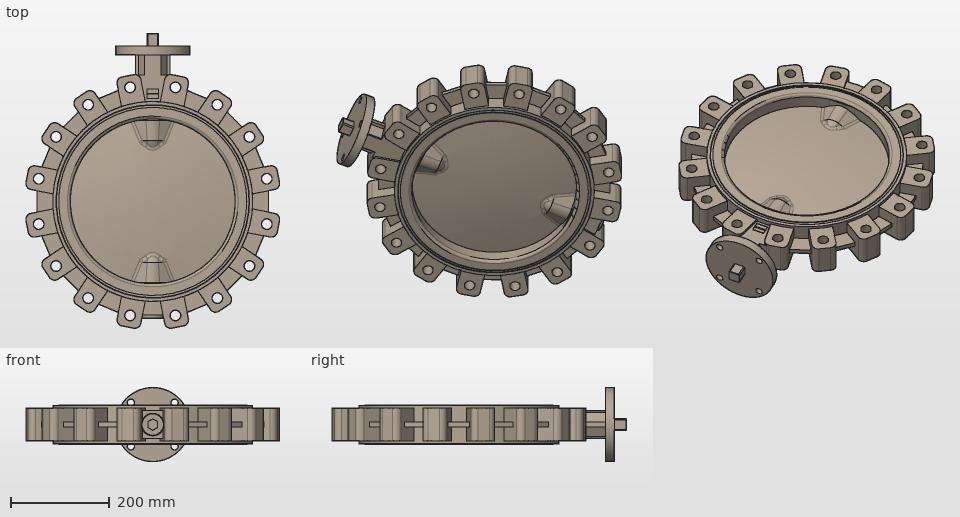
import cadquery as cq
import math


BODY_RADIUS = 202.0
BODY_WIDTH = 78.0
LINER_RADIUS = 190.0
LINER_WIDTH = 80.0
LINER_GROOVE_RADIUS = 194.5
LINER_GROOVE_DEPTH = 1.0
GROOVE_EDGE_CHAMFER = 0.9
BORE_RADIUS = 166.5
BORE_FILLET = 6.0
SHAFT_PAD_DISTANCE = 164.0
PAD_OVERLAP = 1.0

LUG_COUNT = 16
LUG_PITCH = 360.0 / LUG_COUNT
BOLT_CIRCLE_RADIUS = 235.0
BOLT_HOLE_DIAMETER = 21.0
LUG_TIP_DISTANCE = 259.0
LUG_ROOT_DISTANCE = 194.5
LUG_WIDTH = 49.0
LUG_HEIGHT = 66.0
LUG_CORNER_RADIUS = 12.5
WEB_APOTHEM = 234.0
WEB_THICKNESS = 10.0

DISC_CENTRE_HEIGHT = 21.5
DISC_EDGE_HEIGHT = 6.8
HUB_FLANK_ANGLE = 30.0
HUB_OUTER_DISTANCE = 172.0
HUB_OUTER_TOP = 26.7
HUB_OUTER_CROWN_HALF_WIDTH = 14.1
HUB_INNER_DISTANCE = 123.0
HUB_INNER_TOP = 23.8
HUB_INNER_CROWN_HALF_WIDTH = 11.6
HUB_NOSE_DISTANCE = 100.0
HUB_NOSE_TOP = 11.9
HUB_NOSE_CROWN_HALF_WIDTH = 6.5
HUB_FILLET = 12.0
HUB_ROOT_HEIGHT_LIMIT = 16.0

STEM_END = 339.0
STEM_SIZE = 24.0
STEM_EDGE_CHAMFER = 2.5
STEM_END_CHAMFER = 0.8
FLANGE_TOP = 314.5
FLANGE_THICKNESS = 18.5
FLANGE_DIAMETER = 150.0
FLANGE_BOLT_CIRCLE = 125.0
FLANGE_HOLE_DIAMETER = 14.0
FLANGE_HOLE_COUNT = 4
FLANGE_HOLE_START_ANGLE = 45.0
NECK_TOP_HALF_WIDTH = 16.5
NECK_SHOULDER_HALF_WIDTH = 28.5
NECK_WEB_HALF_WIDTH = 35.0
NECK_HALF_HEIGHT = 28.0
NECK_SHOULDER_HEIGHT = 24.0
FILLER_END = 256.0
PLATE_WIDTH = 24.0
PLATE_HEIGHT = 1.0
PLATE_SPANS = ((208.0, 217.0), (218.6, 227.0))

BOSS_WIDTH = 42.5
BOSS_HEIGHT = 56.0
BOSS_END = 230.0
PLUG_RADIUS = 22.7
PLUG_END = 236.5
PLUG_CHAMFER = 1.0
SOCKET_ACROSS_FLATS = 20.0
SOCKET_DEPTH = 10.0


def prism_along_y(profile, y_start, y_end):
    """Extrude a profile drawn in X and Z from y_start up to y_end."""
    return profile.extrude(y_start - y_end).translate((0, y_start, 0))


def make_body():
    half_body = BODY_WIDTH / 2
    half_liner = LINER_WIDTH / 2
    groove_floor = half_body - LINER_GROOVE_DEPTH
    half_ring = (
        cq.Workplane("XZ")
        .moveTo(BORE_RADIUS, 0)
        .lineTo(BORE_RADIUS, half_liner - BORE_FILLET)
        .radiusArc((BORE_RADIUS + BORE_FILLET, half_liner), BORE_FILLET)
        .lineTo(LINER_RADIUS, half_liner)
        .lineTo(LINER_RADIUS, groove_floor)
        .lineTo(LINER_GROOVE_RADIUS, groove_floor)
        .lineTo(LINER_GROOVE_RADIUS, half_body - GROOVE_EDGE_CHAMFER)
        .lineTo(LINER_GROOVE_RADIUS + GROOVE_EDGE_CHAMFER, half_body)
        .lineTo(BODY_RADIUS, half_body)
        .lineTo(BODY_RADIUS, 0)
        .close()
        .revolve(360, (0, 0, 0), (0, 1, 0))
    )
    return half_ring.union(half_ring.mirror("XY"))


def make_shaft_pads():
    """Flat pads on the bore wall where the shaft passes through."""
    pad_height = LINER_WIDTH - 2 * BORE_FILLET
    filled_bore = cq.Workplane("XY").circle(BORE_RADIUS + PAD_OVERLAP).extrude(pad_height / 2, both=True)
    between_pads = cq.Workplane("XY").box(2 * BODY_RADIUS, 2 * SHAFT_PAD_DISTANCE, LINER_WIDTH)
    return filled_bore.cut(between_pads)


def make_web():
    return (
        cq.Workplane("XY")
        .polygon(LUG_COUNT, 2 * WEB_APOTHEM, circumscribed=True)
        .circle(LUG_ROOT_DISTANCE)
        .extrude(WEB_THICKNESS / 2, both=True)
    )


def make_lug(angle):
    length = LUG_TIP_DISTANCE - LUG_ROOT_DISTANCE
    lug = (
        cq.Workplane("XY")
        .box(length, LUG_WIDTH, LUG_HEIGHT)
        .edges("|Z and >X")
        .fillet(LUG_CORNER_RADIUS)
        .translate((LUG_ROOT_DISTANCE + length / 2, 0, 0))
    )
    return lug.rotate((0, 0, 0), (0, 0, 1), angle)


def make_bolt_holes():
    return (
        cq.Workplane("XY")
        .polarArray(BOLT_CIRCLE_RADIUS, LUG_PITCH / 2, 360, LUG_COUNT)
        .circle(BOLT_HOLE_DIAMETER / 2)
        .extrude(LUG_HEIGHT, both=True)
    )


def hub_section(distance, top, crown_half_width):
    """Wire of a hub cross-section: a round crown running tangent into two sloping flanks."""
    flank = math.radians(HUB_FLANK_ANGLE)
    crown_radius = crown_half_width / math.sin(flank)
    crown_edge = top - crown_radius * (1 - math.cos(flank))
    foot_half_width = crown_half_width + crown_edge / math.tan(flank)
    return (
        cq.Workplane("XZ", origin=(0, distance, 0))
        .moveTo(-foot_half_width, 0)
        .lineTo(-crown_half_width, crown_edge)
        .threePointArc((0, top), (crown_half_width, crown_edge))
        .lineTo(foot_half_width, 0)
        .close()
        .val()
    )


def make_hub():
    """Hub half above the disc mid-plane on the +Y side."""
    outer = hub_section(HUB_OUTER_DISTANCE, HUB_OUTER_TOP, HUB_OUTER_CROWN_HALF_WIDTH)
    inner = hub_section(HUB_INNER_DISTANCE, HUB_INNER_TOP, HUB_INNER_CROWN_HALF_WIDTH)
    nose = hub_section(HUB_NOSE_DISTANCE, HUB_NOSE_TOP, HUB_NOSE_CROWN_HALF_WIDTH)
    barrel = cq.Workplane(cq.Solid.makeLoft([outer, inner], True))
    return barrel.union(cq.Workplane(cq.Solid.makeLoft([inner, nose], True)))


def hub_root_edges(half_disc):
    """The curved edges along which the hubs meet the domed disc."""
    bounds = cq.selectors.BoxSelector(
        (-HUB_OUTER_DISTANCE, -HUB_OUTER_DISTANCE, DISC_EDGE_HEIGHT),
        (HUB_OUTER_DISTANCE, HUB_OUTER_DISTANCE, HUB_ROOT_HEIGHT_LIMIT),
    )
    curved = cq.selectors.TypeSelector("BSPLINE")
    return half_disc.edges(cq.selectors.AndSelector(bounds, curved))


def make_disc():
    """Domed disc with hubs, blanked oversize and trimmed to the bore once the hub roots are filleted."""
    crown_rise = DISC_CENTRE_HEIGHT - DISC_EDGE_HEIGHT
    crown_radius = (BORE_RADIUS**2 + crown_rise**2) / (2 * crown_rise)
    drop_to_blank_rim = crown_radius - math.sqrt(crown_radius**2 - HUB_OUTER_DISTANCE**2)
    blank = (
        cq.Workplane("XZ")
        .lineTo(-HUB_OUTER_DISTANCE, 0)
        .lineTo(-HUB_OUTER_DISTANCE, DISC_CENTRE_HEIGHT - drop_to_blank_rim)
        .radiusArc((0, DISC_CENTRE_HEIGHT), crown_radius)
        .close()
        .revolve(360, (0, 0, 0), (0, 1, 0))
    )
    hub = make_hub()
    half_disc = blank.union(hub).union(hub.mirror("XZ"))
    half_disc = hub_root_edges(half_disc).fillet(HUB_FILLET)
    half_disc = half_disc.intersect(cq.Workplane("XY").circle(BORE_RADIUS).extrude(LINER_WIDTH))
    return half_disc.union(half_disc.mirror("XY"))


def make_neck():
    web_half = WEB_THICKNESS / 2
    upper_side = [
        (NECK_WEB_HALF_WIDTH, web_half),
        (NECK_SHOULDER_HALF_WIDTH, web_half),
        (NECK_TOP_HALF_WIDTH, NECK_SHOULDER_HEIGHT),
        (NECK_TOP_HALF_WIDTH, NECK_HALF_HEIGHT),
    ]
    upper = upper_side + [(-x, z) for x, z in reversed(upper_side)]
    lower = [(-x, -z) for x, z in upper]
    profile = cq.Workplane("XZ").polyline(upper + lower).close()
    return prism_along_y(profile, LUG_ROOT_DISTANCE, FLANGE_TOP - FLANGE_THICKNESS)


def make_filler():
    """Block filling the gap between the two lugs beside the neck."""
    gap = cq.Workplane("XZ").rect(2 * NECK_WEB_HALF_WIDTH, 2 * NECK_HALF_HEIGHT)
    return prism_along_y(gap, LUG_ROOT_DISTANCE, FILLER_END)


def make_plates():
    """Thin raised plates on the upper face of the neck."""
    plates = cq.Workplane("XY")
    for y_start, y_end in PLATE_SPANS:
        plate = cq.Workplane("XY").box(PLATE_WIDTH, y_end - y_start, 2 * PLATE_HEIGHT)
        plates = plates.add(plate.translate((0, (y_start + y_end) / 2, NECK_HALF_HEIGHT)))
    return plates.combine()


def make_flange():
    profile = (
        cq.Workplane("XZ")
        .circle(FLANGE_DIAMETER / 2)
        .polarArray(FLANGE_BOLT_CIRCLE / 2, FLANGE_HOLE_START_ANGLE, 360, FLANGE_HOLE_COUNT)
        .circle(FLANGE_HOLE_DIAMETER / 2)
    )
    return prism_along_y(profile, FLANGE_TOP - FLANGE_THICKNESS, FLANGE_TOP)


def make_stem():
    stem = prism_along_y(cq.Workplane("XZ").rect(STEM_SIZE, STEM_SIZE), FLANGE_TOP, STEM_END)
    return stem.edges("|Y").chamfer(STEM_EDGE_CHAMFER).faces(">Y").chamfer(STEM_END_CHAMFER)


def make_lower_boss():
    block = prism_along_y(
        cq.Workplane("XZ").rect(BOSS_WIDTH, BOSS_HEIGHT), -BOSS_END, -LUG_ROOT_DISTANCE
    )
    plug = prism_along_y(cq.Workplane("XZ").circle(PLUG_RADIUS), -PLUG_END, -BOSS_END)
    return block.union(plug.faces("<Y").chamfer(PLUG_CHAMFER))


def make_plug_socket():
    hexagon = cq.Workplane("XZ").polygon(6, SOCKET_ACROSS_FLATS, circumscribed=True)
    return prism_along_y(hexagon, -PLUG_END, SOCKET_DEPTH - PLUG_END)


body = make_body().union(make_shaft_pads()).union(make_web())
for lug_index in range(LUG_COUNT):
    body = body.union(make_lug((lug_index + 0.5) * LUG_PITCH))
body = body.union(make_neck()).union(make_filler()).union(make_plates())
body = body.union(make_flange()).union(make_stem())
body = body.union(make_lower_boss()).cut(make_plug_socket())
result = body.union(make_disc()).cut(make_bolt_holes())